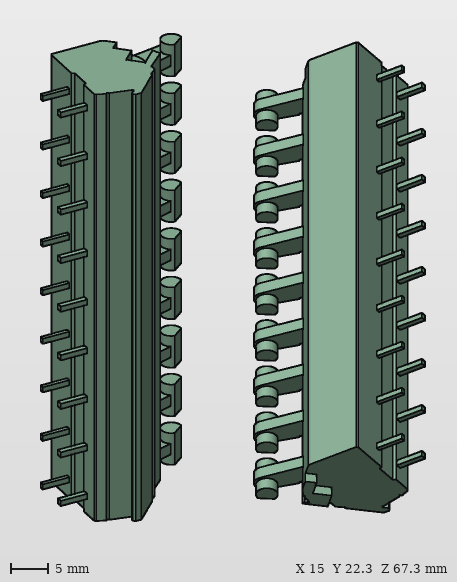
import cadquery as cq
import math


housing_length = 65.95
housing_width = 15.0
shoulder_height = 7.55
corner_bevel = 0.2
foot_right = 12.45

recess_left = 5.85
recess_right = 9.35
recess_depth = 0.4
recess_taper = 0.2

tongue_length = 1.35
pocket_depth = 1.55

pole_count = 9
first_pole_z = 2.8
pole_span = 60.0
pole_pitch = pole_span / (pole_count - 1)

pin_length = 4.05
pin_thickness = 0.8
pin_root = 0.7
left_pin_x = 5.0
left_pin_width = 0.6
right_pin_x = 9.95
right_pin_width = 0.8

arm_thickness = 1.7
arm_lean = math.radians(9.5)
arm_edge_length = 6.7
cap_x = 2.75
cap_y = 16.75
cap_radius = 1.5
handle_x = 3.15
handle_y = 16.7
handle_radius = 1.5
handle_length = 4.9
flat_start = (3.2, 18.25)
flat_end = (4.65, 16.4)


def housing_profile():
    """Closed cross-section of the housing, running clockwise from the lower left."""
    return (
        cq.Workplane("XY")
        .moveTo(corner_bevel, 0)
        .lineTo(0, corner_bevel)
        .lineTo(0, shoulder_height)
        .lineTo(0.15, 8.0)
        .lineTo(2.2, 10.15)
        .threePointArc((3.5, 11.1), (5.3, 11.5))
        .lineTo(5.8, 11.65)
        .lineTo(5.8, 11.85)
        .lineTo(5.4, 12.05)
        .lineTo(5.4, 12.45)
        .lineTo(6.8, 13.05)
        .lineTo(9.3, 10.35)
        .lineTo(10.2, 10.35)
        .lineTo(11.05, 9.4)
        .lineTo(11.3, 9.4)
        .lineTo(housing_width, 5.7)
        .lineTo(housing_width, 4.85)
        .lineTo(14.75, 4.6)
        .lineTo(14.5, 4.6)
        .lineTo(13.9, 5.1)
        .lineTo(13.7, 5.1)
        .lineTo(13.0, 1.9)
        .lineTo(12.8, 1.7)
        .lineTo(13.0, 1.5)
        .lineTo(foot_right, corner_bevel)
        .lineTo(foot_right - corner_bevel, 0)
        .lineTo(recess_right, 0)
        .lineTo(recess_right - recess_taper, recess_depth)
        .lineTo(recess_left + recess_taper, recess_depth)
        .lineTo(recess_left, 0)
        .close()
    )


def interlock_region(height):
    """Zigzag-bottomed prism that bounds the tongue and the pocket, open past the lever seat."""
    corners = [
        (0.8, 9.9),
        (2.5, 8.2),
        (4.3, 10.0),
        (6.1, 8.2),
        (8.0, 10.1),
        (4.05, 14.05),
    ]
    return cq.Workplane("XY").polyline(corners).close().extrude(height)


def make_housing():
    body = housing_profile().extrude(housing_length)
    pocket = interlock_region(pocket_depth).translate((0, 0, housing_length - pocket_depth))
    tongue = (
        housing_profile()
        .extrude(tongue_length)
        .intersect(interlock_region(tongue_length))
        .translate((0, 0, -tongue_length))
    )
    return body.cut(pocket).union(tongue)


def make_arm():
    """Flat lever arm, centred on Z = 0."""
    tangent_x = cap_x - cap_radius * math.cos(arm_lean)
    tangent_y = cap_y - cap_radius * math.sin(arm_lean)
    base_x = tangent_x + arm_edge_length * math.sin(arm_lean)
    base_y = tangent_y - arm_edge_length * math.cos(arm_lean)
    cap_end_x = flat_start[0]
    cap_end_y = cap_y + math.sqrt(cap_radius**2 - (cap_end_x - cap_x) ** 2)
    cap_middle = (
        cap_x - cap_radius * math.cos(math.pi / 4),
        cap_y + cap_radius * math.sin(math.pi / 4),
    )
    return (
        cq.Workplane("XY")
        .moveTo(base_x, base_y)
        .lineTo(tangent_x, tangent_y)
        .threePointArc(cap_middle, (cap_end_x, cap_end_y))
        .lineTo(4.1, 17.1)
        .lineTo(5.3, 12.9)
        .lineTo(5.2, 12.7)
        .lineTo(5.2, 11.1)
        .close()
        .extrude(arm_thickness / 2, both=True)
    )


def make_handle():
    """Round cross handle with a flat on its outer right side, centred on Z = 0."""
    round_bar = (
        cq.Workplane("XY")
        .center(handle_x, handle_y)
        .circle(handle_radius)
        .extrude(handle_length / 2, both=True)
    )
    beyond_flat = (
        cq.Workplane("XY")
        .polyline([flat_start, flat_end, (flat_end[0], flat_start[1])])
        .close()
        .extrude(handle_length, both=True)
    )
    return round_bar.cut(beyond_flat)


def make_pin(x, width):
    """Rectangular solder pin pointing along -Y, centred on Z = 0."""
    return (
        cq.Workplane("XY")
        .box(width, pin_length + pin_root, pin_thickness)
        .translate((x, (pin_root - pin_length) / 2, 0))
    )


pole_parts = [
    make_arm().union(make_handle()),
    make_pin(left_pin_x, left_pin_width),
    make_pin(right_pin_x, right_pin_width),
]

result = make_housing()
for pole in range(pole_count):
    pole_z = first_pole_z + pole * pole_pitch
    for pole_part in pole_parts:
        result = result.union(pole_part.translate((0, 0, pole_z)))